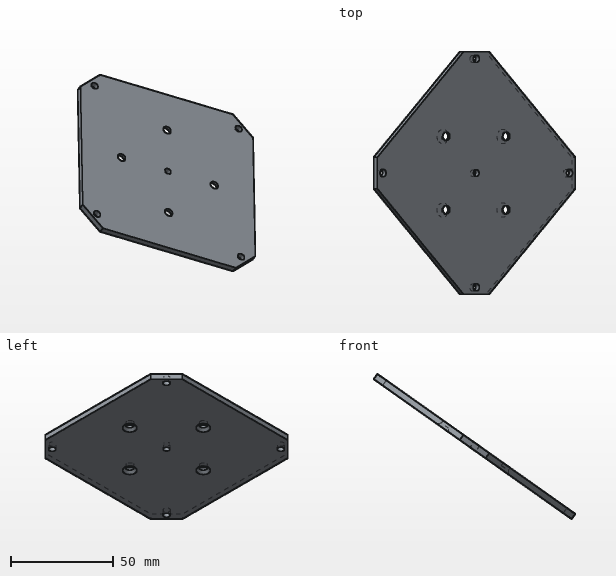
import cadquery as cq
import math

plate_span = 118.8
corner_flat = 15.5
thickness = 3.2
tilt = math.degrees(math.atan(1 / math.sqrt(2)))

corner_hole_diameter = 3.6
corner_hole_offset = 56.0
center_hole_diameter = 3.2
screw_hole_diameter = 4.2
screw_hole_pitch = 36.0
countersink_diameter = 7.0
countersink_angle = 82.0


def make_plate():
    """Eight-sided plate centred on the origin, lying flat."""
    reach = plate_span / 2
    half_flat = corner_flat / 2
    outline = [
        (reach, -half_flat),
        (reach, half_flat),
        (half_flat, reach),
        (-half_flat, reach),
        (-reach, half_flat),
        (-reach, -half_flat),
        (-half_flat, -reach),
        (half_flat, -reach),
    ]
    return cq.Workplane("XY").polyline(outline).close().extrude(thickness / 2, both=True)


def cut_plain_holes(plate):
    """One hole at each corner and one in the centre."""
    plate = plate.faces(">Z").workplane(origin=(0, 0, 0)).hole(center_hole_diameter)
    return (
        plate.faces(">Z").workplane(origin=(0, 0, 0))
        .polarArray(corner_hole_offset, 0, 360, 4)
        .hole(corner_hole_diameter)
    )


def cut_screw_holes(plate):
    """Square pattern of four holes, countersunk from below."""
    return (
        plate.faces("<Z").workplane(origin=(0, 0, 0))
        .rarray(screw_hole_pitch, screw_hole_pitch, 2, 2)
        .cskHole(screw_hole_diameter, countersink_diameter, countersink_angle)
    )


flat_plate = cut_screw_holes(cut_plain_holes(make_plate()))
result = flat_plate.rotate((0, 0, 0), (0, 1, 0), tilt)